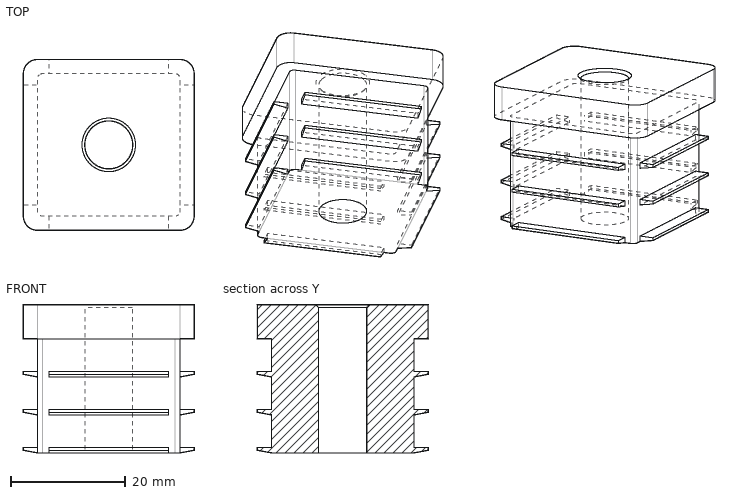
import cadquery as cq

head_side = 30.0
head_height = 6.0
head_corner_radius = 2.52

body_side = 25.0
body_height = 20.0
body_corner_radius = 0.9

hole_diameter = 8.37
hole_chamfer = 0.5

fin_length = 21.0
fin_root_thickness = 1.0
fin_tip_thickness = 0.5
fin_spacing = 6.65
fins_per_side = 3
fin_overlap = 0.3


def rounded_block(side, height, corner_radius, base_z):
    """Square block with rounded vertical edges, centred on the Z axis."""
    return (
        cq.Workplane("XY")
        .workplane(offset=base_z)
        .rect(side, side)
        .extrude(height)
        .edges("|Z")
        .fillet(corner_radius)
    )


def fin(top_z):
    """One fin on the +X side, reaching out to the side of the head."""
    root_x = body_side / 2
    tip_x = head_side / 2
    inner_x = root_x - fin_overlap
    root_z = top_z - fin_root_thickness
    return (
        cq.Workplane("XZ")
        .polyline([
            (inner_x, top_z),
            (tip_x, top_z),
            (tip_x, top_z - fin_tip_thickness),
            (root_x, root_z),
            (inner_x, root_z),
        ])
        .close()
        .extrude(fin_length / 2, both=True)
    )


result = rounded_block(body_side, body_height, body_corner_radius, 0)
result = result.union(rounded_block(head_side, head_height, head_corner_radius, body_height))

for row in range(fins_per_side):
    row_fin = fin(fin_root_thickness + row * fin_spacing)
    for angle in (0, 90, 180, 270):
        result = result.union(row_fin.rotate((0, 0, 0), (0, 0, 1), angle))

result = result.faces(">Z").workplane(origin=(0, 0, 0)).hole(hole_diameter)
result = result.faces(">Z").edges("%CIRCLE").edges(cq.selectors.RadiusNthSelector(-1)).chamfer(hole_chamfer)